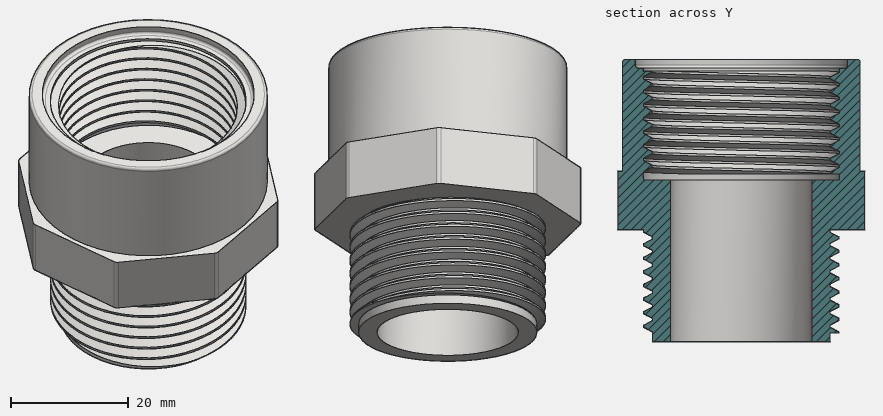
import cadquery as cq
import math

total_height = 48.0
thread_length = 17.5
neck_height = 1.5
collar_bottom = neck_height + thread_length
collar_height = 10.0
collar_top = collar_bottom + collar_height

collar_across_flats = 42.0
collar_corner_radius = 1.0
collar_sides = 8

socket_diameter = 40.5
socket_rim_radius = 0.5
seat_diameter = 36.0
seat_depth = 1.5
seat_corner_radius = 0.5
seat_floor = total_height - seat_depth
socket_lead_in = 0.5
socket_thread_top = seat_floor - socket_lead_in
socket_thread_bottom = socket_thread_top - thread_length
socket_floor_relief = 1.0
socket_floor = socket_thread_bottom - socket_floor_relief

bore_diameter = 24.0

major_diameter = 33.25
minor_diameter = 30.29
threads_per_inch = 11
pitch = 25.4 / threads_per_inch
crest_width = pitch / 6
ridge_foot_width = pitch - crest_width
ridge_overlap = 0.15


def cylinder(diameter, bottom, top):
    """Upright cylinder on the Z axis between two heights."""
    return cq.Workplane("XY").workplane(offset=bottom).circle(diameter / 2).extrude(top - bottom)


def thread_ridge(foot_diameter, crest_diameter, bottom, top, crest_height):
    """Right-handed helical ridge trimmed flat at two heights.

    The ridge rises from foot_diameter to crest_diameter, and its crest
    passes through crest_height on the +X side.
    """
    foot_radius = foot_diameter / 2
    crest_radius = crest_diameter / 2
    outward = math.copysign(1, crest_radius - foot_radius)
    buried_radius = foot_radius - outward * ridge_overlap

    turns_below = math.ceil((crest_height - bottom) / pitch) + 1
    start = crest_height - turns_below * pitch
    turns = math.ceil((top - start) / pitch) + 1

    half_crest = crest_width / 2
    flank_slope = (ridge_foot_width - crest_width) / 2 / abs(crest_radius - foot_radius)
    half_buried = ridge_foot_width / 2 + ridge_overlap * flank_slope
    corners = [
        (buried_radius, start - half_buried),
        (crest_radius, start - half_crest),
        (crest_radius, start + half_crest),
        (buried_radius, start + half_buried),
    ]

    rise = turns * pitch
    helices = [
        cq.Wire.makeHelix(pitch, rise, radius, center=cq.Vector(0, 0, height))
        for radius, height in corners
    ]
    faces = [
        cq.Face.makeRuledSurface(helix, next_helix)
        for helix, next_helix in zip(helices, helices[1:] + helices[:1])
    ]
    for lift in (0, rise):
        section = [cq.Vector(radius, 0, height + lift) for radius, height in corners]
        faces.append(cq.Face.makeFromWires(cq.Wire.makePolygon(section, close=True)))
    ridge = cq.Workplane(obj=cq.Solid.makeSolid(cq.Shell.makeShell(faces)))
    return ridge.intersect(cylinder(socket_diameter, bottom, top))


def spigot():
    """Lower end: plain neck and core carrying the external thread."""
    core = cylinder(minor_diameter, 0, collar_bottom)
    ridge = thread_ridge(minor_diameter, major_diameter, neck_height, collar_bottom, neck_height)
    return core.union(ridge)


def collar():
    """Octagonal collar with flats square to X and Y and rounded corners."""
    corner_diameter = collar_across_flats / math.cos(math.pi / collar_sides)
    return (
        cq.Workplane("XY")
        .workplane(offset=collar_bottom)
        .transformed(rotate=(0, 0, 180 / collar_sides))
        .polygon(collar_sides, corner_diameter)
        .extrude(collar_height)
        .edges("|Z")
        .fillet(collar_corner_radius)
    )


def socket():
    """Upper cylinder with a rounded rim."""
    return cylinder(socket_diameter, collar_top, total_height).faces(">Z").edges().fillet(socket_rim_radius)


def seal_seat():
    """Space of the shallow seat in the socket mouth, rounded around its floor."""
    seat = cylinder(seat_diameter, seat_floor, total_height)
    return seat.faces("<Z").edges().fillet(seat_corner_radius)


def socket_thread():
    """Internal thread, with its crest meeting its top end on the -X side."""
    crest_height = socket_thread_top - pitch / 2
    return thread_ridge(
        major_diameter, minor_diameter, socket_thread_bottom, socket_thread_top, crest_height
    )


body = spigot().union(collar()).union(socket())
body = body.cut(cylinder(bore_diameter, 0, total_height))
body = body.cut(cylinder(major_diameter, socket_floor, seat_floor))
body = body.cut(seal_seat())
result = body.union(socket_thread())